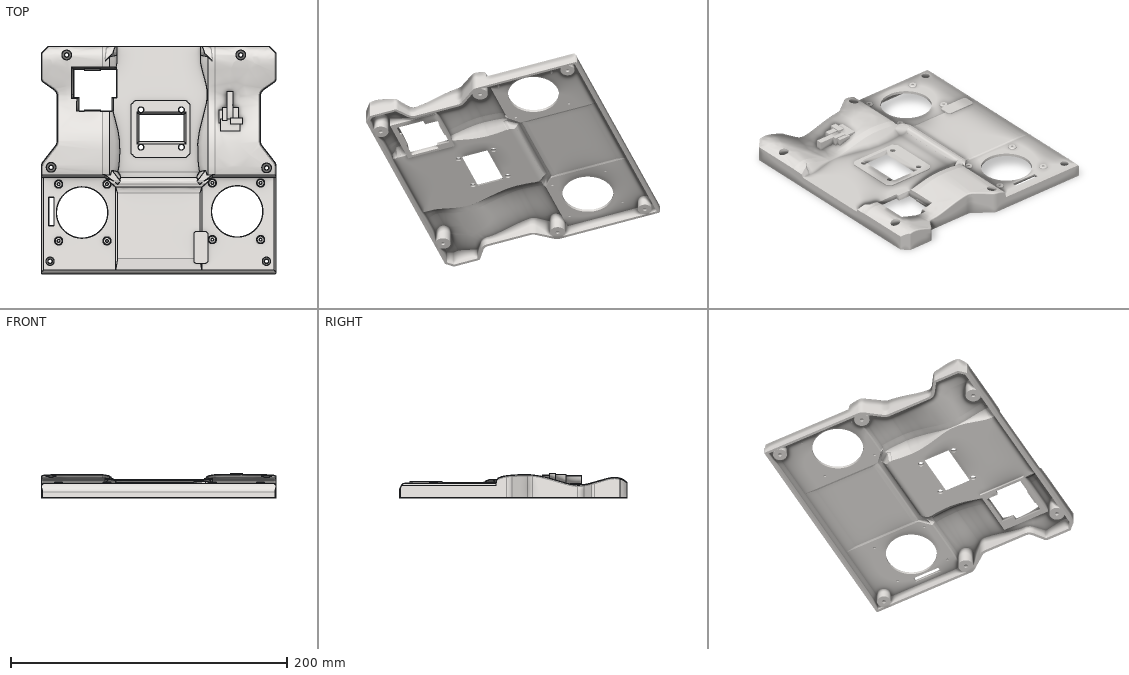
import cadquery as cq

LENGTH_X = 170.0
LENGTH_Y = 165.0
TOTAL_HEIGHT = 17.79
HALF_X = LENGTH_X / 2
REAR_Y = LENGTH_Y / 2
FRONT_Y = -REAR_Y
WALL = 2.0
SIDE_WALL = 1.2
OVERSHOOT = 5.0
OUTLINE_HEIGHT = TOTAL_HEIGHT + OVERSHOOT

REAR_CORNER = 5.0
SHOULDER_Y = 57.4
WAIST_X = 73.6
WAIST_REAR_Y = 49.5
WAIST_FRONT_Y = 11.9
HIP_Y = -2.7
SHOULDER_RADIUS = 3.0
WAIST_RADIUS = 5.5
HIP_RADIUS = 6.0
FRONT_CORNER = 0.8
GRIP_EDGE_RADIUS = 0.9

FLOOR_Z = 8.7
DECK_Z = 10.6
PANEL_Z = 11.1
PAD_Z = 12.0
BEZEL_Z = 9.5

GRIP_WAVE = [
    (REAR_Y, 11.1),
    (79.0, 13.6),
    (75.5, 14.7),
    (70.0, 14.5),
    (60.0, 11.6),
    (52.0, 9.6),
    (47.5, 9.2),
    (42.0, 9.8),
    (34.0, 11.9),
    (23.0, 15.1),
    (14.0, 16.7),
    (8.0, 17.0),
    (0.0, 16.6),
    (-10.7, 14.6),
]
GRIP_EDGE_X = 40.9
GRIP_KNEE_X = 35.6
KNEE_DROP_RATIO = 0.12
BANK_RUN_RATIO = 0.9
GRIP_FRONT_Y, GRIP_FRONT_Z = GRIP_WAVE[-1]
STEP_BREAK = (-12.0, 13.1)
STEP_FOOT_Y = -12.6
STEP_INNER_X = 38.9
JOINT_OVERLAP = 0.5
CORNER_DEPTH = 3.0
CORNER_INSET = 2.0
REAR_BANK_X = 33.6
REAR_BANK_FRONT_Y = 69.8
REAR_BANK_KNEE_Y = 77.5
BANK_TAPER = 30.0
REAR_BANK_DROP = 0.3

RIDGE_START_Y = -8.5
RIDGE_CREST = (-15.2, 13.3)
RIDGE_TOP = (-17.4, 13.1)
RIDGE_LIP_Y = -19.6
RIDGE_LIP_Z = 12.5
RIDGE_FOOT_Y = -24.5
RIDGE_TOP_DIRECTION = (-1.0, -0.15)
RIDGE_LIP_DIRECTION = (-0.3, -0.7)

PANEL_HALF_X = 29.7
PANEL_BASE_HALF_X = 31.2
PANEL_RAMP_Y = -71.2
NOSE_Y = -79.6
NOSE_Z = 4.3
DECK_CHAMFER = 1.5

BEZEL_X = (-20.0, 22.7)
BEZEL_Y = (1.9, 43.3)
BEZEL_CHAMFER = 3.0
WINDOW_CENTER = (2.0, 23.4)
WINDOW_TOP = (35.6, 23.3)
WINDOW_BOTTOM = (32.5, 19.6)
DISPLAY_HOLE_DIAMETER = 4.0
DISPLAY_HOLE_CENTER = (1.75, 22.95)
DISPLAY_HOLE_PITCH = (29.3, 27.1)

CUTOUT_X = (-61.5, -30.6)
CUTOUT_REAR_Y = 65.7
CUTOUT_STEP_Y = 45.3
CUTOUT_FRONT_Y = 35.6
CUTOUT_NECK_X = (-57.7, -34.0)
CUTOUT_DRAFT = 1.8
CUTOUT_STEP_DRAFT_RATIO = 0.5
CUTOUT_TOP_Z = 10.0
CUTOUT_FRAME_Z = 5.0
CLIP_X = (-53.9, -42.2)
CLIP_REACH = 0.6
CLIP_HEIGHT = 1.5

STICK_DIAMETER = 37.0
STICK_OPENINGS = [(-55.5, -37.9), (56.8, -37.1)]
STICK_BOSS_CENTERS = [(-55.0, -37.9), (56.3, -37.0)]
STICK_BOSS_PITCH = (35.0, 41.1)
STICK_BOSS_DIAMETER = 5.9
STICK_BOSS_RIM_DIAMETER = 5.0
STICK_BOSS_HEIGHT = 1.0
STICK_BOSS_HOLE = 1.9
SLOT_X = (-79.5, -75.9)
SLOT_Y = (-47.4, -26.9)

PAD_X = (25.4, 35.5)
PAD_Y = (-74.9, -51.5)
PAD_CHAMFER = 1.5

SCREW_HOLE = 3.0
SCREW_POST_MARGIN = 4.0
GRIP_HEAD = 7.0
DECK_HEAD = 6.0
GRIP_SEAT_Z = 8.0
DECK_SEAT_Z = 7.0
GRIP_SCREWS = [(-66.7, 76.2), (59.4, 76.2), (-78.0, -5.2), (78.1, -5.6)]
DECK_SCREWS = [(-78.7, -73.2), (78.0, -73.2)]

RELIEF_BASE_Z = 10.2
FINGER_Z = 16.2
FIST_Z = 17.0
PALM_Z = 16.5
RELIEF_BLOCKS = [
    ((49.3, 53.6), (28.9, 49.6), FINGER_Z),
    ((46.2, 49.3), (28.9, 38.3), FIST_Z),
    ((53.6, 57.7), (29.0, 38.3), FIST_Z),
    ((43.5, 46.2), (27.0, 36.5), FINGER_Z),
    ((44.9, 59.0), (21.3, 30.0), PALM_Z),
    ((51.9, 60.7), (26.2, 30.7), TOTAL_HEIGHT),
]


def box(x_range, y_range, z_range):
    size = [high - low for low, high in (x_range, y_range, z_range)]
    corner = (x_range[0], y_range[0], z_range[0])
    return cq.Workplane("XY").box(*size, centered=False).translate(corner)


def cylinder(center, diameter, z_low, z_high):
    return cq.Workplane("XY", origin=(*center, z_low)).circle(diameter / 2).extrude(z_high - z_low)


def join(body, parts):
    return cq.Workplane(body.val().fuse(*[part.val() for part in parts]).clean())


def remove(body, parts):
    return cq.Workplane(body.val().cut(*[part.val() for part in parts]).clean())


def grid(center, pitch):
    return [(center[0] + i * pitch[0] / 2, center[1] + j * pitch[1] / 2) for i in (-1, 1) for j in (-1, 1)]


def outline(inset=0.0):
    right = [
        (HALF_X - REAR_CORNER, REAR_Y),
        (HALF_X, REAR_Y - REAR_CORNER),
        (HALF_X, SHOULDER_Y),
        (WAIST_X, WAIST_REAR_Y),
        (WAIST_X, WAIST_FRONT_Y),
        (HALF_X, HIP_Y),
        (HALF_X, FRONT_Y + FRONT_CORNER),
        (HALF_X - FRONT_CORNER, FRONT_Y),
    ]
    left = [(-x, y) for x, y in reversed(right)]
    prism = cq.Workplane("XY").polyline(right + left).close().extrude(OUTLINE_HEIGHT)
    bends = [
        (SHOULDER_Y, SHOULDER_RADIUS),
        (WAIST_REAR_Y, WAIST_RADIUS),
        (WAIST_FRONT_Y, HIP_RADIUS),
        (HIP_Y, HIP_RADIUS),
    ]
    for y, radius in bends:
        at_bend = cq.selectors.BoxSelector((-LENGTH_X, y - 1, 0), (LENGTH_X, y + 1, OUTLINE_HEIGHT))
        prism = prism.edges("|Z").edges(at_bend).fillet(radius)
    if inset:
        rim = prism.faces("<Z").wires().val().offset2D(-inset)
        prism = cq.Workplane(rim[0]).toPending().extrude(OUTLINE_HEIGHT)
    return prism


def grip_section(y, crest):
    rise = crest - FLOOR_Z
    outer_x = HALF_X + OVERSHOOT
    foot_x = GRIP_KNEE_X - BANK_RUN_RATIO * rise
    points = [
        (outer_x, 0),
        (outer_x, crest),
        (GRIP_EDGE_X, crest),
        (GRIP_KNEE_X, crest - KNEE_DROP_RATIO * rise),
        (foot_x, FLOOR_Z),
        (foot_x, 0),
    ]
    return cq.Wire.makePolygon([cq.Vector(x, y, z) for x, z in points], close=True)


def grip():
    return cq.Workplane(cq.Solid.makeLoft([grip_section(y, z) for y, z in GRIP_WAVE]))


def rear_bank():
    points = [
        (REAR_BANK_X, REAR_Y + OVERSHOOT),
        (REAR_BANK_X, REAR_BANK_KNEE_Y),
        (GRIP_EDGE_X, REAR_BANK_FRONT_Y),
        (GRIP_EDGE_X + OVERSHOOT, REAR_BANK_FRONT_Y),
        (GRIP_EDGE_X + OVERSHOOT, REAR_Y + OVERSHOOT),
    ]
    crest = max(z for y, z in GRIP_WAVE if y > REAR_BANK_FRONT_Y)
    block = cq.Workplane("XY", origin=(0, 0, crest)).polyline(points).close()
    block = block.extrude(FLOOR_Z - JOINT_OVERLAP - crest, taper=-BANK_TAPER)
    wave = [(y, z - REAR_BANK_DROP) for y, z in GRIP_WAVE if y > WAIST_REAR_Y]
    under_wave = (
        cq.Workplane("YZ")
        .moveTo(*wave[0])
        .spline(wave[1:], includeCurrent=True)
        .lineTo(wave[-1][0], 0)
        .lineTo(REAR_Y, 0)
        .close()
        .extrude(HALF_X)
    )
    return block.intersect(under_wave)


def grip_step():
    root_y = GRIP_FRONT_Y + JOINT_OVERLAP
    side = [
        (root_y, 0),
        (root_y, GRIP_FRONT_Z),
        (GRIP_FRONT_Y, GRIP_FRONT_Z),
        STEP_BREAK,
        (STEP_FOOT_Y, DECK_Z),
        (STEP_FOOT_Y, 0),
    ]
    step = cq.Workplane("YZ", origin=(STEP_INNER_X, 0, 0)).polyline(side).close()
    return step.extrude(HALF_X - STEP_INNER_X)


def front_corner():
    points = [
        (GRIP_EDGE_X, GRIP_FRONT_Y + CORNER_DEPTH),
        (GRIP_EDGE_X, GRIP_FRONT_Y),
        (STEP_INNER_X, GRIP_FRONT_Y),
        (PANEL_HALF_X, RIDGE_TOP[0]),
        (PANEL_HALF_X - CORNER_INSET, RIDGE_CREST[0]),
        (GRIP_KNEE_X - CORNER_INSET, GRIP_FRONT_Y + CORNER_DEPTH),
    ]
    block = cq.Workplane("XY", origin=(0, 0, RIDGE_CREST[1])).polyline(points).close()
    return block.extrude(FLOOR_Z - JOINT_OVERLAP - RIDGE_CREST[1], taper=-BANK_TAPER)


def ridge():
    profile = (
        cq.Workplane("YZ", origin=(-GRIP_EDGE_X, 0, 0))
        .moveTo(RIDGE_START_Y, 0)
        .lineTo(RIDGE_START_Y, FLOOR_Z)
        .spline([RIDGE_CREST, RIDGE_TOP], tangents=[(-1, 0), RIDGE_TOP_DIRECTION], includeCurrent=True)
        .lineTo(RIDGE_LIP_Y, RIDGE_LIP_Z)
        .spline([(RIDGE_FOOT_Y, PANEL_Z)], tangents=[RIDGE_LIP_DIRECTION, (-1, 0)], includeCurrent=True)
        .lineTo(RIDGE_FOOT_Y, 0)
        .close()
        .extrude(2 * GRIP_EDGE_X)
    )
    right = [
        (GRIP_EDGE_X, RIDGE_START_Y),
        (STEP_INNER_X, STEP_FOOT_Y),
        (PANEL_BASE_HALF_X, RIDGE_LIP_Y),
        (PANEL_HALF_X, RIDGE_FOOT_Y),
    ]
    left = [(-x, y) for x, y in reversed(right)]
    plan = cq.Workplane("XY").polyline(right + left).close().extrude(TOTAL_HEIGHT)
    return profile.intersect(plan)


def deck():
    body = (
        cq.Workplane("YZ", origin=(-HALF_X, 0, 0))
        .moveTo(RIDGE_START_Y, 0)
        .lineTo(FRONT_Y, 0)
        .lineTo(FRONT_Y, NOSE_Z)
        .tangentArcPoint((NOSE_Y, DECK_Z), relative=False)
        .lineTo(RIDGE_START_Y, DECK_Z)
        .close()
        .extrude(LENGTH_X)
    )
    body = body.faces(">Z").edges("|Y").chamfer(DECK_CHAMFER)
    grips_behind = box((-HALF_X, HALF_X), (STEP_FOOT_Y, 0), (FLOOR_Z, TOTAL_HEIGHT))
    return body.cut(grips_behind)


def panel():
    section = [
        (-PANEL_BASE_HALF_X, DECK_Z),
        (-PANEL_HALF_X, PANEL_Z),
        (PANEL_HALF_X, PANEL_Z),
        (PANEL_BASE_HALF_X, DECK_Z),
    ]
    plate = cq.Workplane("XZ", origin=(0, RIDGE_LIP_Y, 0)).polyline(section).close().extrude(RIDGE_LIP_Y - NOSE_Y)
    ramp = [(PANEL_RAMP_Y, PANEL_Z), (NOSE_Y, PANEL_Z), (NOSE_Y, DECK_Z)]
    ramp_cut = cq.Workplane("YZ", origin=(-HALF_X, 0, 0)).polyline(ramp).close().extrude(LENGTH_X)
    return plate.cut(ramp_cut)


def round_grip_sides(body):
    for side in (-1, 1):
        inner, outer = sorted((side * (WAIST_X - 1), side * (HALF_X + 1)))
        crest_zone = cq.selectors.BoxSelector(
            (inner, GRIP_FRONT_Y + JOINT_OVERLAP, FLOOR_Z),
            (outer, SHOULDER_Y + 1, TOTAL_HEIGHT),
        )
        body = body.edges(crest_zone).fillet(GRIP_EDGE_RADIUS)
    return body


def envelope():
    floor = box((-GRIP_EDGE_X, GRIP_EDGE_X), (RIDGE_START_Y - OVERSHOOT, REAR_Y), (0, FLOOR_Z))
    parts = [floor, ridge(), panel()]
    for part in (grip(), rear_bank(), grip_step(), front_corner()):
        parts += [part, part.mirror("YZ")]
    return round_grip_sides(join(deck(), parts).intersect(outline()))


def cavity_under(shell):
    cavity = outline(WALL)
    for shift_y in (-SIDE_WALL, SIDE_WALL):
        cavity = cavity.intersect(shell.translate((0, shift_y, -WALL)))
    return cavity


def tapered_frame_points(draft):
    left, right = CUTOUT_X
    neck_left, neck_right = CUTOUT_NECK_X
    return [
        (left - draft, CUTOUT_REAR_Y + draft),
        (right, CUTOUT_REAR_Y + draft),
        (right, CUTOUT_STEP_Y),
        (neck_right + draft, CUTOUT_STEP_Y),
        (neck_right + draft, CUTOUT_FRONT_Y),
        (neck_left - draft, CUTOUT_FRONT_Y),
        (neck_left - draft, CUTOUT_STEP_Y - draft * CUTOUT_STEP_DRAFT_RATIO),
        (left - draft, CUTOUT_STEP_Y - draft * CUTOUT_STEP_DRAFT_RATIO),
    ]


def cutout():
    low = cq.Workplane("XY").polyline(tapered_frame_points(0)).close().extrude(CUTOUT_FRAME_Z)
    taper = (
        cq.Workplane("XY", origin=(0, 0, CUTOUT_FRAME_Z))
        .polyline(tapered_frame_points(0))
        .close()
        .workplane(offset=CUTOUT_TOP_Z - CUTOUT_FRAME_Z)
        .polyline(tapered_frame_points(CUTOUT_DRAFT))
        .close()
        .loft(ruled=True)
    )
    high = cq.Workplane("XY", origin=(0, 0, CUTOUT_TOP_Z)).polyline(tapered_frame_points(CUTOUT_DRAFT)).close()
    opening = low.union(taper).union(high.extrude(TOTAL_HEIGHT))
    clip_z = (CUTOUT_FRAME_Z, CUTOUT_FRAME_Z + CLIP_HEIGHT)
    rear_clip = box(CLIP_X, (CUTOUT_REAR_Y - CLIP_REACH, CUTOUT_REAR_Y + CUTOUT_DRAFT), clip_z)
    front_clip = box(CLIP_X, (CUTOUT_FRONT_Y - CUTOUT_DRAFT, CUTOUT_FRONT_Y + CLIP_REACH), clip_z)
    return opening.cut(rear_clip).cut(front_clip)


def cutout_frame():
    margin = CUTOUT_DRAFT + WALL
    return box(
        (CUTOUT_X[0] - margin, CUTOUT_X[1] + WALL),
        (CUTOUT_FRONT_Y - WALL, CUTOUT_REAR_Y + margin),
        (CUTOUT_FRAME_Z, TOTAL_HEIGHT),
    )


def window():
    bottom_z = FLOOR_Z - WALL
    taper = (
        cq.Workplane("XY", origin=(*WINDOW_CENTER, bottom_z))
        .rect(*WINDOW_BOTTOM)
        .workplane(offset=BEZEL_Z - bottom_z)
        .rect(*WINDOW_TOP)
        .loft(ruled=True)
    )
    for center in grid(DISPLAY_HOLE_CENTER, DISPLAY_HOLE_PITCH):
        taper = taper.union(cylinder(center, DISPLAY_HOLE_DIAMETER, 0, TOTAL_HEIGHT))
    return taper


def stick_boss_points():
    return [point for center in STICK_BOSS_CENTERS for point in grid(center, STICK_BOSS_PITCH)]


def raised_details():
    bezel = box(BEZEL_X, BEZEL_Y, (FLOOR_Z - JOINT_OVERLAP, BEZEL_Z)).edges("|Z").chamfer(BEZEL_CHAMFER)
    pad = box(PAD_X, PAD_Y, (DECK_Z - JOINT_OVERLAP, PAD_Z)).edges("|Z").chamfer(PAD_CHAMFER)
    relief = [box(x_range, y_range, (RELIEF_BASE_Z, top)) for x_range, y_range, top in RELIEF_BLOCKS]
    boss_bevel = (STICK_BOSS_DIAMETER - STICK_BOSS_RIM_DIAMETER) / 2
    bosses = []
    for point in stick_boss_points():
        boss = cylinder(point, STICK_BOSS_DIAMETER, DECK_Z - JOINT_OVERLAP, DECK_Z + STICK_BOSS_HEIGHT)
        bosses.append(boss.faces(">Z").chamfer(boss_bevel))
    return [bezel, pad] + relief + bosses


def openings():
    slot = box(SLOT_X, SLOT_Y, (0, TOTAL_HEIGHT))
    holes = [(point, STICK_DIAMETER) for point in STICK_OPENINGS]
    holes += [(point, STICK_BOSS_HOLE) for point in stick_boss_points()]
    round_holes = [cylinder(center, diameter, 0, TOTAL_HEIGHT) for center, diameter in holes]
    return [cutout(), window(), slot] + round_holes


def case_screws():
    grips = [(center, GRIP_HEAD, GRIP_SEAT_Z) for center in GRIP_SCREWS]
    decks = [(center, DECK_HEAD, DECK_SEAT_Z) for center in DECK_SCREWS]
    return grips + decks


def screw_posts():
    return [cylinder(center, head + SCREW_POST_MARGIN, 0, TOTAL_HEIGHT) for center, head, _ in case_screws()]


def screw_holes():
    cuts = []
    for center, head, seat in case_screws():
        shank = cylinder(center, SCREW_HOLE, 0, TOTAL_HEIGHT)
        cuts.append(shank.union(cylinder(center, head, seat, TOTAL_HEIGHT)))
    return cuts


def build():
    shell = envelope()
    cavity = remove(cavity_under(shell), screw_posts() + [cutout_frame()])
    body = join(shell, raised_details())
    finished = remove(body, [cavity] + openings() + screw_holes())
    return cq.Workplane(finished.solids().val())


result = build()